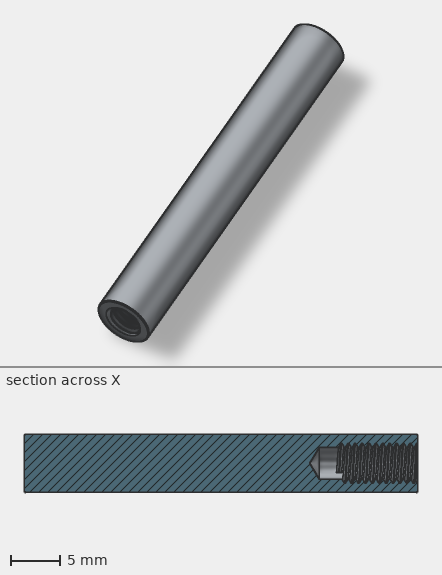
import cadquery as cq
import math

length = 40.0
outer_diameter = 5.95
rim_chamfer = 0.1

thread_major_diameter = 4.0
thread_pitch = 0.7
thread_flank_angle = 60.0
thread_height = thread_pitch / (2 * math.tan(math.radians(thread_flank_angle / 2)))
thread_depth_ratio = 5 / 4
thread_minor_diameter = thread_major_diameter - thread_depth_ratio * thread_height
root_width = thread_pitch / 8
thread_length = 8.0
thread_start_angle = 240.0

hole_depth = 10.0
mouth_depth = 0.3
drill_point_angle = 118.0

front_y = -length / 2
major_radius = thread_major_diameter / 2
minor_radius = thread_minor_diameter / 2


def make_body():
    """Cylinder centred on the origin, chamfered at both rims."""
    back = cq.Workplane("XZ", origin=(0, length / 2, 0))
    cylinder = back.circle(outer_diameter / 2).extrude(length)
    return cylinder.faces("<Y or >Y").edges().chamfer(rim_chamfer)


def make_drilled_hole():
    """Blind minor-diameter hole with a conical bottom and a countersunk mouth."""
    tip_depth = hole_depth + minor_radius / math.tan(math.radians(drill_point_angle / 2))
    profile = (
        cq.Workplane("XY")
        .moveTo(0, front_y)
        .lineTo(major_radius, front_y)
        .lineTo(minor_radius, front_y + mouth_depth)
        .lineTo(minor_radius, front_y + hole_depth)
        .lineTo(0, front_y + tip_depth)
        .close()
    )
    return profile.revolve(360, (0, 0, 0), (0, 1, 0))


def make_thread_groove():
    """Helical ridge of trapezoidal section that cuts the thread, starting one pitch outside the end face."""
    overlap = 0.1
    guide_radius = 1.0
    slope = math.tan(math.radians(thread_flank_angle / 2))
    half_root = root_width / 2
    inner_radius = minor_radius - overlap
    half_mouth = half_root + (major_radius - inner_radius) * slope
    helix = cq.Wire.makeHelix(thread_pitch, thread_length + thread_pitch, guide_radius)
    profile = (
        cq.Workplane("XZ")
        .moveTo(inner_radius, -half_mouth)
        .lineTo(major_radius, -half_root)
        .lineTo(major_radius, half_root)
        .lineTo(inner_radius, half_mouth)
        .close()
    )
    groove = profile.sweep(cq.Workplane(helix), isFrenet=True)
    groove = groove.rotate((0, 0, 0), (1, 0, 0), -90)
    groove = groove.rotate((0, 0, 0), (0, 1, 0), thread_start_angle)
    return groove.translate((0, front_y - thread_pitch, 0))


result = make_body().cut(make_drilled_hole()).cut(make_thread_groove())